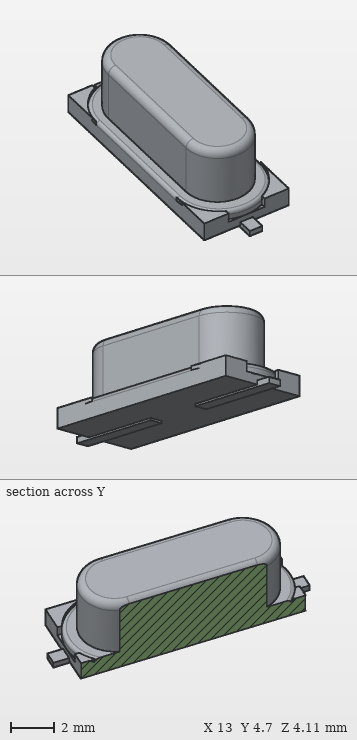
import cadquery as cq

base_length = 11.4
base_width = 4.7
base_height = 1.0
base_bottom = 0.11
base_top = base_bottom + base_height

flange_thickness = 0.5
flange_edge_radius = 0.2
flange_bottom = base_top - flange_thickness
end_notch_width = 2.0

can_length = 10.0
can_width = 3.5
can_height = 3.0
can_edge_radius = 0.4

lead_span = 13.0
lead_length = 5.0
lead_width = 0.7
lead_thickness = 0.31


def stadium(length, width, height, bottom):
    """Upright prism with a round-ended outline along X."""
    return cq.Workplane("XY").workplane(offset=bottom).slot2D(length, width).extrude(height)


def box(length, width, height, bottom, center_x=0):
    """Block centred on Y = 0 and standing on the given level."""
    return (
        cq.Workplane("XY")
        .box(length, width, height, centered=(True, True, False))
        .translate((center_x, 0, bottom))
    )


def make_base():
    """Plate with a recess for the flange that is open through both short ends."""
    plate = box(base_length, base_width, base_height, base_bottom)
    recess = stadium(base_length, base_width, flange_thickness, flange_bottom)
    end_notches = box(base_length, end_notch_width, flange_thickness, flange_bottom)
    return plate.cut(recess).cut(end_notches)


def make_flange():
    """Round-ended flange, as long and as wide as the base, with a rounded upper edge."""
    flange = stadium(base_length, base_width, flange_thickness, flange_bottom)
    return flange.faces(">Z").edges().fillet(flange_edge_radius)


def make_can():
    """Round-ended can with a rounded upper edge, standing on the flange."""
    can = stadium(can_length, can_width, can_height, base_top)
    return can.faces(">Z").edges().fillet(can_edge_radius)


def make_lead(side):
    """Flat lead running out under one end of the base; side is -1 or +1."""
    center_x = side * (lead_span - lead_length) / 2
    return box(lead_length, lead_width, lead_thickness, 0, center_x)


result = make_base().union(make_flange()).union(make_can())
for side in (-1, 1):
    result = result.union(make_lead(side))